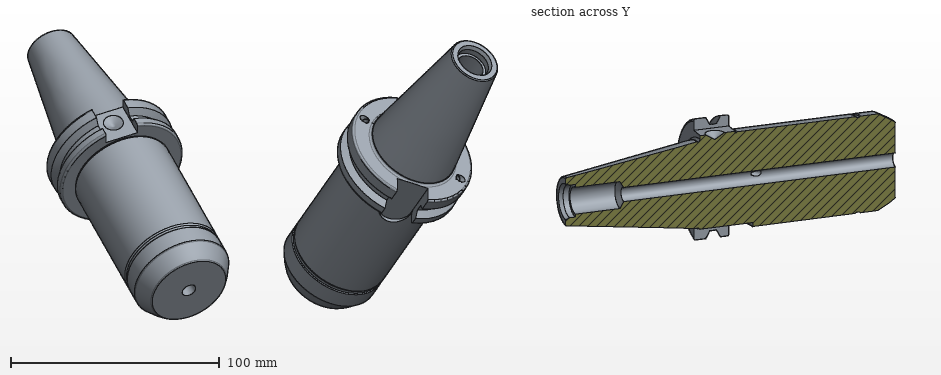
import cadquery as cq
import math


GAUGE_DIA = 44.45
TAPER_RATIO = 7 / 24
TAPER_LENGTH = 68.25
SHANK_END_CHAMFER = 0.5
TAPER_REAR_X = -0.4
RELIEF_DIA = 43.8
RELIEF_RADIUS = 1.2

FLANGE_DIA = 63.5
FLANGE_FRONT_X = 1.0
FLANGE_REAR_X = 19.05
FLANGE_EDGE_RADIUS = 1.0
GROOVE_DIA = 56.36
GROOVE_CENTER_X = 10.95
GROOVE_FLOOR_WIDTH = 3.4
GROOVE_SIDE_ANGLE = 30

SLOT_WIDTH = 16.3
TOP_SLOT_FLOOR = 25.0
BOTTOM_SLOT_FLOOR = 22.6
BOTTOM_SLOT_CENTER_X = 20.0
DIMPLE_DIA = 9.53
DIMPLE_CENTER_X = 8.7
DIMPLE_POINT_ANGLE = 118

BODY_DIA = 49.25
NECK_DIA = 48.25
NECK_END_X = 19.6
NECK_CHAMFER = (BODY_DIA - NECK_DIA) / 2
RING_START_X = 80.8
RING_START_SLOPE = 0.9
RING_END_X = 83.6
NOSE_START_X = 92.6
NOSE_EDGE_LENGTH = 0.5
NOSE_EDGE_DEPTH = 0.3
NOSE_TIP_DIA = 39.2
NOSE_BULGE = 0.3
NOSE_TIP_CHAMFER = 0.5
FACE_X = 101.6

PASSAGE_DIA = 6.92
MOUTH_DIA = 18.0
MOUTH_DEPTH = 2.0
COUNTERBORE_DIA = 16.3
COUNTERBORE_DEPTH = 5.0
THREAD_DIA = 13.39
THREAD_DEPTH = 28.0
DRILL_POINT_ANGLE = 118

COOLANT_DIA = 3.24
COOLANT_MOUTH_DIA = 4.0
COOLANT_MOUTH_DEPTH = 1.4
COOLANT_RADIUS = 27.0
COOLANT_POSITION_ANGLE = 20
COOLANT_TILT = 38


def cone_length(large_dia, small_dia, point_angle):
    return (large_dia - small_dia) / 2 / math.tan(math.radians(point_angle / 2))


def revolve_about_axis(profile):
    return profile.close().revolve(360, (0, 0, 0), (1, 0, 0))


def make_shank():
    end_x = -TAPER_LENGTH
    end_dia = GAUGE_DIA - TAPER_RATIO * TAPER_LENGTH
    profile = (
        cq.Workplane("XY")
        .moveTo(end_x, 0)
        .lineTo(end_x, end_dia / 2 - SHANK_END_CHAMFER)
        .lineTo(end_x + SHANK_END_CHAMFER, (end_dia + TAPER_RATIO * SHANK_END_CHAMFER) / 2)
        .lineTo(TAPER_REAR_X, (GAUGE_DIA + TAPER_RATIO * TAPER_REAR_X) / 2)
        .lineTo(TAPER_REAR_X, RELIEF_DIA / 2)
        .lineTo(FLANGE_FRONT_X - RELIEF_RADIUS, RELIEF_DIA / 2)
        .radiusArc((FLANGE_FRONT_X, RELIEF_DIA / 2 + RELIEF_RADIUS), -RELIEF_RADIUS)
        .lineTo(FLANGE_FRONT_X, 0)
    )
    return revolve_about_axis(profile)


def make_flange():
    disc = (
        cq.Workplane("YZ", origin=(FLANGE_FRONT_X, 0, 0))
        .circle(FLANGE_DIA / 2)
        .extrude(FLANGE_REAR_X - FLANGE_FRONT_X)
        .edges()
        .fillet(FLANGE_EDGE_RADIUS)
    )
    floor_half = GROOVE_FLOOR_WIDTH / 2
    side_depth = (FLANGE_DIA - GROOVE_DIA) / 2
    mouth_half = floor_half + side_depth * math.tan(math.radians(GROOVE_SIDE_ANGLE))
    groove = revolve_about_axis(
        cq.Workplane("XY")
        .moveTo(GROOVE_CENTER_X - floor_half, GROOVE_DIA / 2)
        .lineTo(GROOVE_CENTER_X - mouth_half, FLANGE_DIA / 2)
        .lineTo(GROOVE_CENTER_X + mouth_half, FLANGE_DIA / 2)
        .lineTo(GROOVE_CENTER_X + floor_half, GROOVE_DIA / 2)
    )
    return disc.cut(groove)


def make_body():
    body_r = BODY_DIA / 2
    neck_r = NECK_DIA / 2
    curve_start = (NOSE_START_X + NOSE_EDGE_LENGTH, body_r - NOSE_EDGE_DEPTH)
    curve_end = (FACE_X - NOSE_TIP_CHAMFER, NOSE_TIP_DIA / 2)
    curve_middle = (
        (curve_start[0] + curve_end[0]) / 2,
        (curve_start[1] + curve_end[1]) / 2 + NOSE_BULGE,
    )
    profile = (
        cq.Workplane("XY")
        .moveTo(FLANGE_FRONT_X, 0)
        .lineTo(FLANGE_FRONT_X, neck_r)
        .lineTo(NECK_END_X, neck_r)
        .lineTo(NECK_END_X + NECK_CHAMFER, body_r)
        .lineTo(RING_START_X, body_r)
        .lineTo(RING_START_X + RING_START_SLOPE, neck_r)
        .lineTo(RING_END_X - NECK_CHAMFER, neck_r)
        .lineTo(RING_END_X, body_r)
        .lineTo(NOSE_START_X, body_r)
        .lineTo(*curve_start)
        .threePointArc(curve_middle, curve_end)
        .lineTo(FACE_X, NOSE_TIP_DIA / 2 - NOSE_TIP_CHAMFER)
        .lineTo(FACE_X, 0)
    )
    return revolve_about_axis(profile)


def make_top_slot():
    slot = (
        cq.Workplane("XY", origin=(FLANGE_FRONT_X, 0, TOP_SLOT_FLOOR))
        .rect(2 * (FLANGE_REAR_X - FLANGE_FRONT_X), SLOT_WIDTH)
        .extrude(FLANGE_DIA / 2)
    )
    dimple_depth = cone_length(DIMPLE_DIA, 0, DIMPLE_POINT_ANGLE)
    dimple = cq.Workplane(
        cq.Solid.makeCone(
            DIMPLE_DIA / 2,
            0,
            dimple_depth,
            pnt=cq.Vector(DIMPLE_CENTER_X, 0, TOP_SLOT_FLOOR),
            dir=cq.Vector(0, 0, -1),
        )
    )
    return slot.union(dimple)


def make_bottom_slot():
    straight = (
        cq.Workplane("XY", origin=(0, 0, -BOTTOM_SLOT_FLOOR))
        .center(BOTTOM_SLOT_CENTER_X / 2, 0)
        .rect(BOTTOM_SLOT_CENTER_X, SLOT_WIDTH)
        .extrude(-FLANGE_DIA / 2)
    )
    round_end = (
        cq.Workplane("XY", origin=(BOTTOM_SLOT_CENTER_X, 0, -BOTTOM_SLOT_FLOOR))
        .circle(SLOT_WIDTH / 2)
        .extrude(-FLANGE_DIA / 2)
    )
    return straight.union(round_end)


def make_bores():
    start_x = -TAPER_LENGTH
    ledge_x = start_x + COUNTERBORE_DEPTH
    thread_end_x = start_x + THREAD_DEPTH
    profile = (
        cq.Workplane("XY")
        .moveTo(start_x, 0)
        .lineTo(start_x, MOUTH_DIA / 2)
        .lineTo(start_x + MOUTH_DEPTH, COUNTERBORE_DIA / 2)
        .lineTo(ledge_x, COUNTERBORE_DIA / 2)
        .lineTo(ledge_x, THREAD_DIA / 2)
        .lineTo(thread_end_x, THREAD_DIA / 2)
        .lineTo(thread_end_x + cone_length(THREAD_DIA, PASSAGE_DIA, DRILL_POINT_ANGLE), PASSAGE_DIA / 2)
        .lineTo(FACE_X, PASSAGE_DIA / 2)
        .lineTo(FACE_X, 0)
    )
    return revolve_about_axis(profile)


def make_coolant_hole():
    tilt = math.radians(COOLANT_TILT)
    hole_length = COOLANT_RADIUS / math.sin(tilt)
    overrun = COOLANT_MOUTH_DIA
    direction = cq.Vector(math.cos(tilt), -math.sin(tilt), 0)
    mouth_center = cq.Vector(FLANGE_FRONT_X, COOLANT_RADIUS, 0)
    mouth = cq.Solid.makeCylinder(
        COOLANT_MOUTH_DIA / 2,
        overrun + COOLANT_MOUTH_DEPTH,
        mouth_center - direction * overrun,
        direction,
    )
    hole = cq.Solid.makeCylinder(COOLANT_DIA / 2, hole_length, mouth_center, direction)
    behind_flange_face = (
        cq.Workplane("YZ", origin=(FLANGE_FRONT_X, 0, 0))
        .rect(FLANGE_DIA, FLANGE_DIA)
        .extrude(FACE_X)
    )
    return cq.Workplane(mouth.fuse(hole)).intersect(behind_flange_face)


result = make_shank().union(make_flange()).union(make_body())
result = result.cut(make_top_slot()).cut(make_bottom_slot()).cut(make_bores())
for half_turn in (0, 180):
    angle = COOLANT_POSITION_ANGLE + half_turn
    result = result.cut(make_coolant_hole().rotate((0, 0, 0), (1, 0, 0), angle))